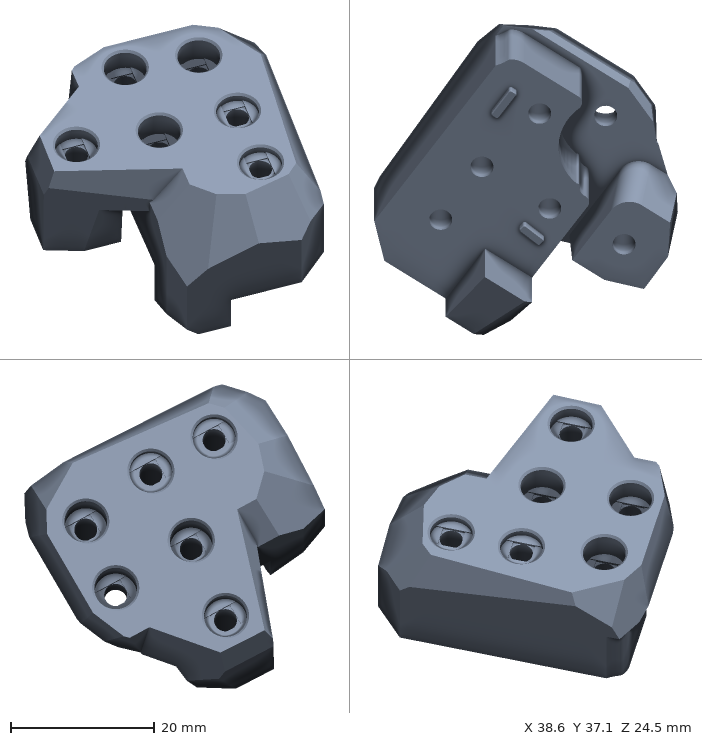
import cadquery as cq

LENGTH = 38.62
DEPTH = 37.1
TOP = 24.45
CROWN_BOTTOM = 17.65
LEG_BOTTOM = 8.9
BASE_BOTTOM = 8.6
BASE_FRONT = 13.95
OVERLAP_LEFT = 19.3
OVERLAP_RIGHT = 21.25
CUTTER_SIZE = 154.48
CROWN_FRONT = 7.72
LEG_BLOCK_RIGHT = 28.95

CROWN_INSIDE = (11.6, 23.17, 21.25)
WING_INSIDE = (30.9, 21.25, 13.5)
LEG_INSIDE = (17.38, 5.8, 19.3)

TOP_BACK_LEFT = (9.77, 36.05, TOP)
TOP_BACK_RIGHT = (30.55, 34.3, TOP)
TOP_RIGHT_BACK = (32.17, 32.65, TOP)
TOP_RIGHT_TIP = (33.75, 25.75, TOP)
TOP_RIGHT_FRONT = (32.5, 21.9, TOP)
TOP_NOTCH_OUTER = (29.6, 18.92, TOP)
TOP_NOTCH_INNER = (26.5, 18.92, TOP)
TOP_LEG_RIGHT = (21.28, 1.78, TOP)
TOP_LEG_LEFT = (14.33, 1.97, TOP)
TOP_LEG_ROOT = (7.45, 10.05, TOP)
TOP_FRONT_RIGHT = (4.33, 10.05, TOP)
TOP_FRONT_LEFT = (3.7, 10.62, TOP)
TOP_LEFT_FRONT = (1.62, 15.68, TOP)
TOP_LEFT_BACK = (1.62, 28.77, TOP)
TOP_BACK_CORNER = (3.25, 31.95, TOP)

LEFT_RIM_BACK = (0.0, 31.05, 18.65)
LEFT_RIM_FRONT = (0.0, 17.3, 18.65)
LEFT_RIM_UNDER = (0.75, 17.07, CROWN_BOTTOM)
FRONT_RIM_BACK = (0.15, 16.4, 19.0)
FRONT_RIM_FRONT = (1.7, 12.63, 19.0)
FRONT_RIM_UNDER = (3.15, 11.25, CROWN_BOTTOM)
BACK_RIM_LEFT = (3.55, DEPTH, 19.8)
BACK_RIM_MIDDLE = (9.08, DEPTH, 22.95)
LEG_ROOT = (5.52, 8.92, CROWN_BOTTOM)
LEG_SIDE = (9.45, 2.95, 15.25)
LEG_SIDE_FOOT = (11.1, 2.95, LEG_BOTTOM)
LEG_FRONT_LEFT = (13.15, 0.25, 18.3)
LEG_FRONT_TOP = (13.95, 0.25, 20.45)
LEG_CHIN = (21.75, 0.08, 20.45)
LEG_FRONT_RIGHT = (21.75, 0.0, LEG_BOTTOM)
NOTCH_RIM = (26.88, BASE_FRONT, 20.12)
NOTCH_RIM_RIGHT = (30.47, BASE_FRONT, 19.5)
WING_FRONT = (34.3, BASE_FRONT, 16.2)
WING_FRONT_RIGHT = (LENGTH, 15.53, 13.98)
WING_RIGHT = (LENGTH, 26.1, 19.1)
WING_RIGHT_BACK = (LENGTH, 32.4, CROWN_BOTTOM)
WING_CORNER = (36.9, 34.3, 18.95)

BASE_LEFT = 1.95
BACK_SCOOP_START = (4.5, DEPTH)
BACK_SCOOP_END = (2.78, 36.15)
BACK_CORNER_START = (2.3, 35.6)
LEFT_WALL_BACK = (BASE_LEFT, 34.1)
LEFT_WALL_FRONT = (BASE_LEFT, 24.65)
FRONT_SCOOP_START = (3.3, 23.67)
FRONT_SCOOP_END = (13.32, 17.3)
SMALL_SCOOP_START = (13.55, 16.7)
SMALL_SCOOP_END = (14.3, 15.1)
FRONT_WALL_LEFT = (15.3, BASE_FRONT)
CORNER_RADIUS = 3.0
SCOOP_RADIUS = 7.85
SMALL_SCOOP_RADIUS = 1.7
BACK_LIP_RADIUS = 1.0
LEFT_LIP_RADIUS = 1.27
MIDDLE_LIP_RADIUS = 0.4
FRONT_LIP_RADIUS = 1.15

LEG_BACK = 10.8
LEG_RIGHT_TOP = 24.45
LEG_RIGHT_BOTTOM = 23.7
LEG_LEFT_TOP = 8.85

FOOT_LEFT = 29.05
FOOT_BACK = 21.97
FOOT_RISE = 3.1
TOE_LEFT = (FOOT_LEFT, BASE_FRONT, 1.15)
TOE_SOLE = (FOOT_LEFT, 15.18, 0.0)
TOE_CORNER_Z = 3.9

HOLES = [
    (28.8, 29.62, 1.2),
    (18.7, 29.62, 1.2),
    (7.22, 27.75, 4.0),
    (6.15, 17.3, 3.3),
    (18.7, 18.1, 4.0),
    (17.55, 6.3, 2.0),
]
BORE_DIAMETER = 6.0
BORE_CHAMFER = 0.3
THROUGH_DIAMETER = 3.2
BRIDGE_STEP = 0.2

TABS = [
    ((8.45, 33.0), 4.9, 0),
    ((23.17, 18.07), 3.85, 96),
]
TAB_WIDTH = 1.3
TAB_HEIGHT = 1.12
TAB_CORNER_RADIUS = 0.4
TAB_CHAMFER = 0.15


def box(x_range, y_range, z_range):
    size = [high - low for low, high in (x_range, y_range, z_range)]
    corner = (x_range[0], y_range[0], z_range[0])
    return cq.Workplane("XY").box(*size, centered=False).translate(corner)


def above(point, z):
    """The point moved straight up or down to height z."""
    return (point[0], point[1], z)


def trim(body, inside, facets):
    """Cut the body flat along each facet, keeping the side that holds the inside point."""
    inside = cq.Vector(*inside)
    for corners in facets:
        a, b, c = [cq.Vector(*corner) for corner in corners]
        normal = (b - a).cross(c - a).normalized()
        if normal.dot(inside - a) > 0:
            normal = normal * -1
        plane = cq.Plane(origin=a.toTuple(), normal=normal.toTuple())
        cutter = cq.Workplane(plane).rect(CUTTER_SIZE, CUTTER_SIZE).extrude(CUTTER_SIZE)
        body = body.cut(cutter)
    return body


def make_crown():
    block = box((0, OVERLAP_RIGHT), (CROWN_FRONT, DEPTH), (CROWN_BOTTOM, TOP))
    return trim(block, CROWN_INSIDE, [
        (TOP_LEFT_FRONT, TOP_LEFT_BACK, LEFT_RIM_BACK),
        (TOP_LEFT_BACK, TOP_BACK_CORNER, LEFT_RIM_BACK),
        (TOP_BACK_CORNER, TOP_BACK_LEFT, BACK_RIM_LEFT),
        (TOP_BACK_LEFT, TOP_BACK_RIGHT, BACK_RIM_MIDDLE),
        (TOP_LEFT_FRONT, TOP_FRONT_LEFT, FRONT_RIM_FRONT),
        (TOP_FRONT_LEFT, TOP_FRONT_RIGHT, FRONT_RIM_FRONT),
        (TOP_FRONT_RIGHT, TOP_LEG_ROOT, LEG_ROOT),
        (LEFT_RIM_BACK, LEFT_RIM_FRONT, LEFT_RIM_UNDER),
        (FRONT_RIM_BACK, FRONT_RIM_FRONT, FRONT_RIM_UNDER),
    ])


def make_wing():
    block = box((OVERLAP_LEFT, LENGTH), (BASE_FRONT, DEPTH), (BASE_BOTTOM, TOP))
    foot = box((FOOT_LEFT, LENGTH), (BASE_FRONT, FOOT_BACK), (0, BASE_BOTTOM))
    return trim(block.union(foot), WING_INSIDE, [
        (TOP_NOTCH_INNER, TOP_NOTCH_OUTER, NOTCH_RIM_RIGHT),
        (TOP_NOTCH_OUTER, TOP_RIGHT_FRONT, WING_FRONT),
        (TOP_RIGHT_FRONT, TOP_RIGHT_TIP, WING_RIGHT),
        (TOP_RIGHT_TIP, TOP_RIGHT_BACK, WING_RIGHT),
        (TOP_RIGHT_BACK, TOP_BACK_RIGHT, WING_CORNER),
        (TOP_BACK_RIGHT, TOP_BACK_LEFT, BACK_RIM_MIDDLE),
        (WING_CORNER, WING_RIGHT_BACK, above(WING_CORNER, 0)),
        (WING_FRONT, WING_FRONT_RIGHT, above(WING_FRONT, 0)),
        ((FOOT_LEFT, BASE_FRONT, 0), (FOOT_LEFT, FOOT_BACK, 0), (LENGTH, FOOT_BACK, FOOT_RISE)),
        (TOE_LEFT, TOE_SOLE, above(WING_FRONT, TOE_CORNER_Z)),
    ])


def make_leg():
    upper = box((LEG_ROOT[0], LEG_BLOCK_RIGHT), (0, TOP_NOTCH_INNER[1]), (CROWN_BOTTOM, TOP))
    lower = (
        cq.Workplane("XZ")
        .polyline([
            (LEG_LEFT_TOP, CROWN_BOTTOM),
            (LEG_SIDE_FOOT[0], LEG_BOTTOM),
            (LEG_RIGHT_BOTTOM, LEG_BOTTOM),
            (LEG_RIGHT_TOP, CROWN_BOTTOM),
        ])
        .close()
        .extrude(-LEG_BACK)
    )
    middle_x = (LEG_LEFT_TOP + LEG_SIDE_FOOT[0]) / 2
    middle_z = (CROWN_BOTTOM + LEG_BOTTOM) / 2
    back_left_edge = cq.selectors.NearestToPointSelector((middle_x, LEG_BACK, middle_z))
    lower = lower.edges(back_left_edge).fillet(CORNER_RADIUS)
    return trim(upper.union(lower), LEG_INSIDE, [
        (TOP_LEG_ROOT, TOP_LEG_LEFT, LEG_SIDE),
        (LEG_SIDE, LEG_FRONT_LEFT, LEG_SIDE_FOOT),
        (TOP_LEG_LEFT, TOP_LEG_RIGHT, LEG_FRONT_TOP),
        (LEG_FRONT_LEFT, LEG_FRONT_RIGHT, LEG_CHIN),
        (TOP_LEG_RIGHT, TOP_NOTCH_INNER, NOTCH_RIM),
        (LEG_FRONT_RIGHT, NOTCH_RIM, above(NOTCH_RIM, 0)),
    ])


def make_base():
    """Wall under the crown, scooped out by arcs at the back left and the front left."""
    outline = (
        cq.Workplane("XY", origin=(0, 0, BASE_BOTTOM))
        .moveTo(*BACK_SCOOP_START)
        .radiusArc(BACK_SCOOP_END, SCOOP_RADIUS)
        .radiusArc(BACK_CORNER_START, -BACK_LIP_RADIUS)
        .radiusArc(LEFT_WALL_BACK, -CORNER_RADIUS)
        .lineTo(*LEFT_WALL_FRONT)
        .radiusArc(FRONT_SCOOP_START, -LEFT_LIP_RADIUS)
        .radiusArc(FRONT_SCOOP_END, SCOOP_RADIUS)
        .radiusArc(SMALL_SCOOP_START, -MIDDLE_LIP_RADIUS)
        .radiusArc(SMALL_SCOOP_END, SMALL_SCOOP_RADIUS)
        .radiusArc(FRONT_WALL_LEFT, -FRONT_LIP_RADIUS)
        .lineTo(OVERLAP_RIGHT, BASE_FRONT)
        .lineTo(OVERLAP_RIGHT, DEPTH)
        .close()
    )
    return outline.extrude(CROWN_BOTTOM - BASE_BOTTOM)


def make_tab(center, length, angle):
    return (
        cq.Workplane("XY")
        .box(length, TAB_WIDTH, TAB_HEIGHT, centered=(True, True, False))
        .edges("|Z").fillet(TAB_CORNER_RADIUS)
        .faces("<Z").chamfer(TAB_CHAMFER)
        .rotate((0, 0, 0), (0, 0, 1), angle)
        .translate((*center, BASE_BOTTOM - TAB_HEIGHT))
    )


def make_hole(x, y, depth):
    """Chamfered wide bore, then a slot, a square and a round through hole, each one step deeper."""
    half = BORE_DIAMETER / 2
    floor = TOP - depth
    bore = cq.Workplane("XY", origin=(0, 0, floor)).circle(half).extrude(depth)
    mouth = (
        cq.Workplane("XY", origin=(0, 0, TOP - BORE_CHAMFER))
        .circle(half)
        .workplane(offset=BORE_CHAMFER)
        .circle(half + BORE_CHAMFER)
        .loft()
    )
    slot = (
        cq.Workplane("XY", origin=(0, 0, floor - BRIDGE_STEP))
        .circle(half)
        .extrude(BRIDGE_STEP)
        .intersect(cq.Workplane("XY").box(BORE_DIAMETER, THROUGH_DIAMETER, 2 * TOP))
    )
    square = (
        cq.Workplane("XY", origin=(0, 0, floor - 2 * BRIDGE_STEP))
        .rect(THROUGH_DIAMETER, THROUGH_DIAMETER)
        .extrude(2 * BRIDGE_STEP)
    )
    through = cq.Workplane("XY").circle(THROUGH_DIAMETER / 2).extrude(TOP)
    return bore.union(mouth).union(slot).union(square).union(through).translate((x, y, 0))


result = make_crown().union(make_base()).union(make_wing()).union(make_leg())
for center, length, angle in TABS:
    result = result.union(make_tab(center, length, angle))
for x, y, depth in HOLES:
    result = result.cut(make_hole(x, y, depth))